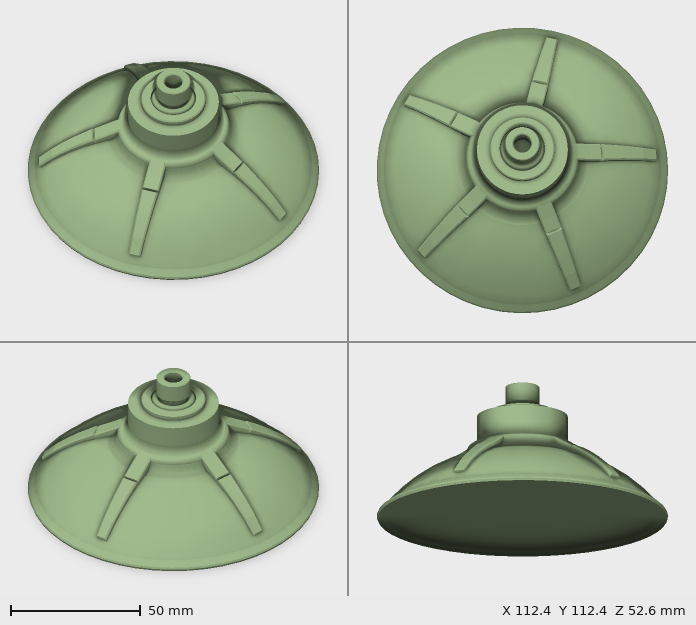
import cadquery as cq
import math

CUP_RADIUS = 56.2
BASE_RADIUS = 55.9
RIM_WIDEST_Z = 0.9
RIM_TOP_RADIUS = 55.9
RIM_TOP_Z = 1.6
LIP_RADIUS = 53.4
LIP_Z = 3.5
DOME_MID = (42.8, 13.5)
DOME_TOP = (25.9, 22.3)
NECK_BOTTOM = (21.6, 26.2)
NECK_TOP = (20.0, 28.6)
NECK_BULGE = 0.16
HUB_RADIUS = 17.5
HUB_FOOT_Z = 31.5
HUB_TOP_Z = 40.6

RIB_COUNT = 5
RIB_FIRST_ANGLE = 180.0
RIB_FLOOR_Z = 18.0
PAD_INNER = (20.4, 28.4)
PAD_BEND = (25.9, 25.2)
PAD_END = (30.5, 22.8)
PAD_TOP_WIDTH = 6.5
PAD_FOOT_WIDTH = 7.6
PAD_BEVEL = 0.6
GROOVE_BOTTOM = (30.2, 21.3)
BLADE_START = (31.5, 22.6)
BLADE_ARC_MID = (39.6, 17.8)
BLADE_ARC_END = (47.0, 12.3)
BLADE_TIP = (52.3, 7.2)
BLADE_TIP_HEIGHT = 2.4
BLADE_ROOT_RADIUS = 45.0
BLADE_INNER_WIDTH = 6.5
BLADE_OUTER_WIDTH = 4.5
BLADE_BEVEL = 0.6

FLANGE_RADIUS = 12.4
FLANGE_TOP_Z = 42.9
FLANGE_CHAMFER = 0.5
STEM_RADIUS = 13.2 / 2
STEM_TOP_Z = 52.6
STEM_CHAMFER = 0.3
STEM_SHOULDER_Z = 45.6
NECK_RADIUS = 11.4 / 2
BORE_RADIUS = 7.0 / 2
BORE_CHAMFER = 0.5
BORE_DEPTH = 9.0
BORE_CAP_DEPTH = 1.0

RECESS_RADIUS = 17.5 / 2
RING_OUTER_RADIUS = 16.6 / 2
RING_SECTION = (RING_OUTER_RADIUS - NECK_RADIUS) / 2
RING_CENTRE_RADIUS = (RING_OUTER_RADIUS + NECK_RADIUS) / 2
RING_TOP_Z = 43.6
RECESS_FLOOR_Z = RING_TOP_Z - 2 * RING_SECTION


def bulge(start, end, part):
    """Point beside the middle of a chord; a positive part lies to the left of its direction."""
    dx = end[0] - start[0]
    dz = end[1] - start[1]
    return (
        (start[0] + end[0]) / 2 - part * dz,
        (start[1] + end[1]) / 2 + part * dx,
    )


def make_cup_body():
    hub_foot = (HUB_RADIUS, HUB_FOOT_Z)
    return (
        cq.Workplane("XZ")
        .lineTo(BASE_RADIUS, 0)
        .lineTo(CUP_RADIUS, RIM_WIDEST_Z)
        .lineTo(RIM_TOP_RADIUS, RIM_TOP_Z)
        .lineTo(LIP_RADIUS, LIP_Z)
        .threePointArc(DOME_MID, DOME_TOP)
        .threePointArc(bulge(DOME_TOP, NECK_BOTTOM, NECK_BULGE), NECK_BOTTOM)
        .threePointArc(bulge(NECK_BOTTOM, NECK_TOP, -NECK_BULGE), NECK_TOP)
        .threePointArc(bulge(NECK_TOP, hub_foot, NECK_BULGE), hub_foot)
        .lineTo(HUB_RADIUS, HUB_TOP_Z)
        .lineTo(0, HUB_TOP_Z)
        .close()
        .revolve(360, (0, 0, 0), (0, 1, 0))
    )


def make_pad():
    """Inner block of a rib; its bevelled sides lean in slightly and run along its slope."""
    profile = (
        cq.Workplane("XZ")
        .polyline([
            PAD_INNER,
            PAD_BEND,
            PAD_END,
            GROOVE_BOTTOM,
            (GROOVE_BOTTOM[0], RIB_FLOOR_Z),
            (PAD_INNER[0], RIB_FLOOR_Z),
        ])
        .close()
        .extrude(PAD_FOOT_WIDTH, both=True)
    )
    run = PAD_END[0] - PAD_INNER[0]
    drop = PAD_INNER[1] - PAD_END[1]
    sloping = cq.Plane(
        origin=(PAD_INNER[0], 0, PAD_INNER[1]),
        xDir=(0, 1, 0),
        normal=(run, 0, -drop),
    )
    depth = PAD_INNER[1] - RIB_FLOOR_Z
    top_half = PAD_TOP_WIDTH / 2
    foot_half = PAD_FOOT_WIDTH / 2
    sides = (
        cq.Workplane(sloping)
        .polyline([
            (-top_half, -PAD_BEVEL),
            (PAD_BEVEL - top_half, 0),
            (top_half - PAD_BEVEL, 0),
            (top_half, -PAD_BEVEL),
            (foot_half, -depth),
            (-foot_half, -depth),
        ])
        .close()
        .extrude(2 * run, both=True)
    )
    return profile.intersect(sides)


def make_blade():
    """Outer arched block of a rib, tapered in plan and bevelled along its top edges."""
    tip_setback = BLADE_TIP_HEIGHT / math.sqrt(2)
    root = (BLADE_TIP[0] - tip_setback, BLADE_TIP[1] - tip_setback)
    profile = (
        cq.Workplane("XZ")
        .moveTo(*GROOVE_BOTTOM)
        .lineTo(*BLADE_START)
        .threePointArc(BLADE_ARC_MID, BLADE_ARC_END)
        .lineTo(*BLADE_TIP)
        .lineTo(*root)
        .lineTo(BLADE_ROOT_RADIUS, root[1])
        .lineTo(GROOVE_BOTTOM[0], RIB_FLOOR_Z)
        .close()
        .extrude(BLADE_INNER_WIDTH, both=True)
    )
    inner_half = BLADE_INNER_WIDTH / 2
    outer_half = BLADE_OUTER_WIDTH / 2
    plan = (
        cq.Workplane("XY")
        .polyline([
            (GROOVE_BOTTOM[0], -inner_half),
            (BLADE_TIP[0], -outer_half),
            (BLADE_TIP[0], outer_half),
            (GROOVE_BOTTOM[0], inner_half),
        ])
        .close()
        .extrude(HUB_TOP_Z)
    )
    blade = profile.intersect(plan)

    slope = (BLADE_START[1] - BLADE_TIP[1]) / (BLADE_TIP[0] - BLADE_START[0])
    top_edges = []
    for edge in blade.edges().vals():
        middle = edge.positionAt(0.5)
        chord_z = BLADE_TIP[1] + slope * (BLADE_TIP[0] - middle.x)
        on_side = abs(middle.y) > BLADE_BEVEL
        is_long = on_side and middle.x > BLADE_START[0] and middle.z > chord_z
        is_tip = not on_side and middle.x > BLADE_TIP[0] - BLADE_BEVEL
        if is_long or is_tip:
            top_edges.append(edge)
    return blade.newObject(top_edges).chamfer(BLADE_BEVEL)


def make_fitting():
    bore_floor_z = STEM_TOP_Z - BORE_DEPTH
    cap_radius = (BORE_RADIUS**2 + BORE_CAP_DEPTH**2) / (2 * BORE_CAP_DEPTH)
    cap_centre_z = bore_floor_z - BORE_CAP_DEPTH + cap_radius
    half_angle = math.asin(BORE_RADIUS / cap_radius) / 2
    cap_middle = (
        cap_radius * math.sin(half_angle),
        cap_centre_z - cap_radius * math.cos(half_angle),
    )
    return (
        cq.Workplane("XZ")
        .moveTo(0, HUB_TOP_Z)
        .lineTo(FLANGE_RADIUS, HUB_TOP_Z)
        .lineTo(FLANGE_RADIUS, FLANGE_TOP_Z - FLANGE_CHAMFER)
        .lineTo(FLANGE_RADIUS - FLANGE_CHAMFER, FLANGE_TOP_Z)
        .lineTo(RECESS_RADIUS, FLANGE_TOP_Z)
        .lineTo(RECESS_RADIUS, RECESS_FLOOR_Z)
        .lineTo(NECK_RADIUS, RECESS_FLOOR_Z)
        .lineTo(NECK_RADIUS, STEM_SHOULDER_Z - (STEM_RADIUS - NECK_RADIUS))
        .lineTo(STEM_RADIUS, STEM_SHOULDER_Z)
        .lineTo(STEM_RADIUS, STEM_TOP_Z - STEM_CHAMFER)
        .lineTo(STEM_RADIUS - STEM_CHAMFER, STEM_TOP_Z)
        .lineTo(BORE_RADIUS + BORE_CHAMFER, STEM_TOP_Z)
        .lineTo(BORE_RADIUS, STEM_TOP_Z - BORE_CHAMFER)
        .lineTo(BORE_RADIUS, bore_floor_z)
        .threePointArc(cap_middle, (0, bore_floor_z - BORE_CAP_DEPTH))
        .close()
        .revolve(360, (0, 0, 0), (0, 1, 0))
    )


def make_ring():
    return (
        cq.Workplane("XZ")
        .center(RING_CENTRE_RADIUS, RING_TOP_Z - RING_SECTION)
        .circle(RING_SECTION)
        .revolve(360, (-RING_CENTRE_RADIUS, 0, 0), (-RING_CENTRE_RADIUS, 1, 0))
    )


def make_cup():
    cup = make_cup_body()
    for i in range(RIB_COUNT):
        angle = RIB_FIRST_ANGLE + i * 360 / RIB_COUNT
        for block in (make_pad(), make_blade()):
            cup = cup.union(block.rotate((0, 0, 0), (0, 0, 1), angle))
    return cup.solids()


cup = make_cup()
fitting = make_fitting()
ring = make_ring()

result = cq.Compound.makeCompound([cup.val(), fitting.val(), ring.val()])